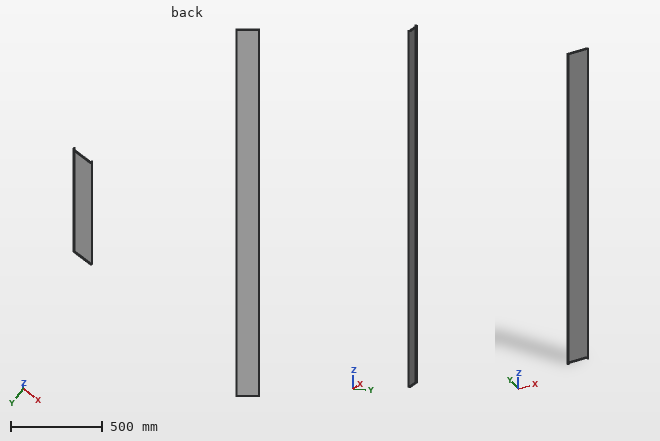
import cadquery as cq

length = 2000.0
width = 125.0
depth = 10.0
thickness = 1.0
inner_bend_radius = 1.0
outer_bend_radius = inner_bend_radius + thickness


def rounded_bar(bar_width, back_y, bend_radius):
    """Full-length bar with its back at back_y and both back edges rounded."""
    return (
        cq.Workplane("XY")
        .box(bar_width, depth, length, centered=(True, False, False))
        .translate((0, back_y - depth, 0))
        .edges("|Z and >Y")
        .fillet(bend_radius)
    )


back_face_y = depth / 2
envelope = rounded_bar(width, back_face_y, outer_bend_radius)
hollow = rounded_bar(width - 2 * thickness, back_face_y - thickness, inner_bend_radius)

result = envelope.cut(hollow)